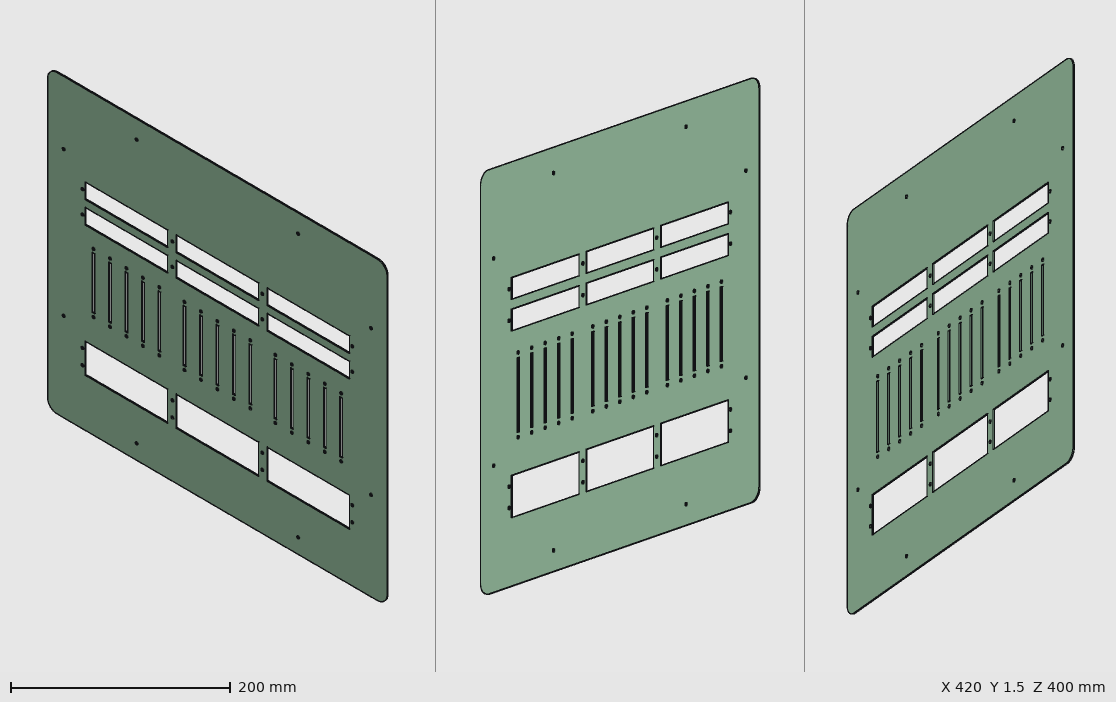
import cadquery as cq

WIDTH = 420.0
HEIGHT = 400.0
THICKNESS = 1.5
CORNER_RADIUS = 12.0

HOLE_DIAMETER = 3.2

COLUMN_PITCH = 112.5
COLUMN_CENTRES = [-COLUMN_PITCH, 0, COLUMN_PITCH]

WINDOW_WIDTH = 102.0
LOW_WINDOW_HEIGHT = 20.5
LOW_WINDOW_ROWS = [80.5, 51.0]
TALL_WINDOW_HEIGHT = 40.0
TALL_WINDOW_Z = -115.5

WINDOW_HOLE_PITCH = 111.5
WINDOW_HOLE_COLUMNS = [(i - 1.5) * WINDOW_HOLE_PITCH for i in range(4)]
TALL_HOLE_SPACING = 20.0
WINDOW_HOLE_ROWS = LOW_WINDOW_ROWS + [
    TALL_WINDOW_Z + TALL_HOLE_SPACING / 2,
    TALL_WINDOW_Z - TALL_HOLE_SPACING / 2,
]

SLOTS_PER_COLUMN = 5
SLOT_SPAN = 81.5
SLOT_PITCH = SLOT_SPAN / (SLOTS_PER_COLUMN - 1)
SLOT_WIDTH = 3.2
SLOT_LENGTH = 70.0
SLOT_Z = -22.0
SLOT_HOLE_SPACING = 80.0

EDGE_HOLE_X = 100.0
TOP_HOLE_Z = 175.5
BOTTOM_HOLE_Z = -180.0
SIDE_HOLE_X = 190.3
UPPER_SIDE_HOLE_Z = 114.5
LOWER_SIDE_HOLE_Z = -80.5


def grid(xs, zs):
    """Every (x, z) combination of the given positions."""
    return [(x, z) for x in xs for z in zs]


def cutters(points):
    """Workplane on the panel mid-plane with the given (x, z) points selected."""
    return cq.Workplane("XZ").pushPoints(points)


def cut_rectangles(panel, points, width, height):
    return panel.cut(cutters(points).rect(width, height).extrude(THICKNESS, both=True))


def cut_holes(panel, points):
    return panel.cut(cutters(points).circle(HOLE_DIAMETER / 2).extrude(THICKNESS, both=True))


def slot_centres():
    middle = (SLOTS_PER_COLUMN - 1) / 2
    return [
        column + (i - middle) * SLOT_PITCH
        for column in COLUMN_CENTRES
        for i in range(SLOTS_PER_COLUMN)
    ]


panel = cq.Workplane("XY").box(WIDTH, THICKNESS, HEIGHT).edges("|Y").fillet(CORNER_RADIUS)

panel = cut_rectangles(panel, grid(COLUMN_CENTRES, LOW_WINDOW_ROWS), WINDOW_WIDTH, LOW_WINDOW_HEIGHT)
panel = cut_rectangles(panel, grid(COLUMN_CENTRES, [TALL_WINDOW_Z]), WINDOW_WIDTH, TALL_WINDOW_HEIGHT)
panel = cut_holes(panel, grid(WINDOW_HOLE_COLUMNS, WINDOW_HOLE_ROWS))

slot_hole_rows = [SLOT_Z + SLOT_HOLE_SPACING / 2, SLOT_Z - SLOT_HOLE_SPACING / 2]
panel = cut_rectangles(panel, grid(slot_centres(), [SLOT_Z]), SLOT_WIDTH, SLOT_LENGTH)
panel = cut_holes(panel, grid(slot_centres(), slot_hole_rows))

panel = cut_holes(panel, grid([-EDGE_HOLE_X, EDGE_HOLE_X], [TOP_HOLE_Z, BOTTOM_HOLE_Z]))
panel = cut_holes(panel, grid([-SIDE_HOLE_X, SIDE_HOLE_X], [UPPER_SIDE_HOLE_Z, LOWER_SIDE_HOLE_Z]))

result = panel